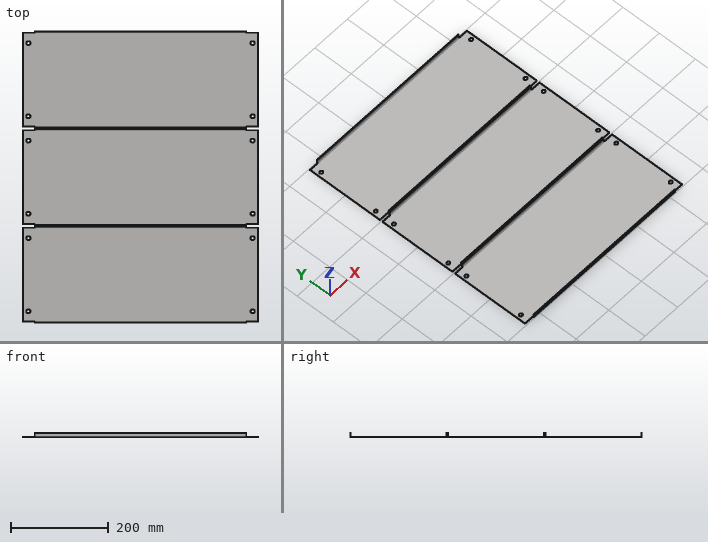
import cadquery as cq

PANEL_COUNT = 3
TOTAL_DEPTH = 598.0
PANEL_GAP = 2.0
PANEL_WIDTH = 482.0
PANEL_HEIGHT = 9.0
PANEL_DEPTH = (TOTAL_DEPTH - (PANEL_COUNT - 1) * PANEL_GAP) / PANEL_COUNT
PANEL_PITCH = PANEL_DEPTH + PANEL_GAP

THICKNESS = 1.0
INNER_BEND_RADIUS = 1.0
OUTER_BEND_RADIUS = INNER_BEND_RADIUS + THICKNESS

FLANGE_LENGTH = 435.0

EAR_SETBACK = 2.7

SLOT_LENGTH = 8.5
SLOT_WIDTH = 7.0
SLOT_SPACING_X = 460.0
SLOT_SPACING_Y = 150.0


def flanged_channel():
    """Shallow channel with rounded bends, as long as the flanges."""
    outer = (
        cq.Workplane("XY")
        .box(FLANGE_LENGTH, PANEL_DEPTH, PANEL_HEIGHT, centered=(True, True, False))
        .edges("|X and <Z")
        .fillet(OUTER_BEND_RADIUS)
    )
    inner = (
        cq.Workplane("XY", origin=(0, 0, THICKNESS))
        .box(FLANGE_LENGTH, PANEL_DEPTH - 2 * THICKNESS, PANEL_HEIGHT, centered=(True, True, False))
        .edges("|X and <Z")
        .fillet(INNER_BEND_RADIUS)
    )
    return outer.cut(inner)


def flat_sheet():
    """Flat sheet whose ends project past the flanges as mounting ears."""
    return cq.Workplane("XY").box(
        PANEL_WIDTH, PANEL_DEPTH - 2 * EAR_SETBACK, THICKNESS, centered=(True, True, False)
    )


def mounting_slots():
    """Cutters for the four corner slots."""
    return (
        cq.Workplane("XY")
        .rarray(SLOT_SPACING_X, SLOT_SPACING_Y, 2, 2)
        .slot2D(SLOT_LENGTH, SLOT_WIDTH)
        .extrude(THICKNESS)
    )


def panel(centre_y):
    """One flanged panel centred at the given Y."""
    body = flanged_channel().union(flat_sheet()).cut(mounting_slots())
    return body.translate((0, centre_y, 0))


first_centre = -PANEL_PITCH * (PANEL_COUNT - 1) / 2
panels = [panel(first_centre + index * PANEL_PITCH) for index in range(PANEL_COUNT)]

result = cq.Compound.makeCompound([body.val() for body in panels])